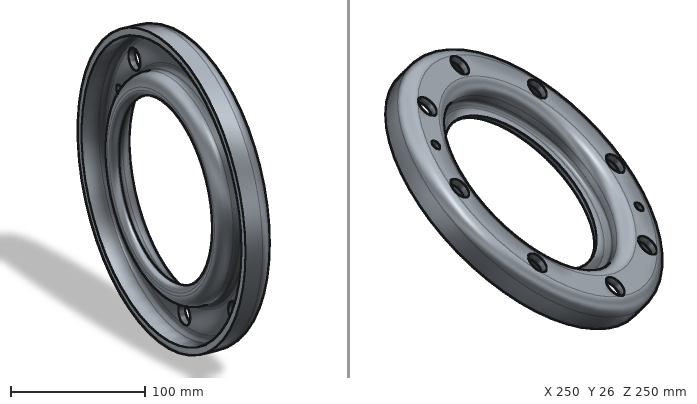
import cadquery as cq
import math

OUTER_RADIUS = 125.0
BORE_RADIUS = 72.5
NECK_RADIUS = 90.0
THICKNESS = 6.0
TOTAL_DEPTH = 26.0
RIM_DEPTH = 25.5
RIM_BEND = 4.8
NECK_BEND = 4.2
LIP_ROUND = 4.8

BOLT_CIRCLE_RADIUS = 105.0
BOLT_COUNT = 8
BOLT_DIAMETER = 17.5
PIN_DIAMETER = 8.0
PIN_ANGLES = (157.5, 337.5)

RIM_INNER_RADIUS = OUTER_RADIUS - THICKNESS
RIM_OUTER_BEND = RIM_BEND + THICKNESS
NECK_INNER_RADIUS = NECK_RADIUS - THICKNESS
NECK_OUTER_BEND = NECK_BEND + THICKNESS
FLOOR = -THICKNESS
CREST = -TOTAL_DEPTH
LIP_BACK = CREST + THICKNESS
HALF_DIAGONAL = math.sqrt(0.5)


def bend(profile, center, radius, start, end):
    """Add a quarter arc; start and end are (radial, axial) unit directions from its center."""
    def on_arc(radial, axial):
        return (center[0] + radius * radial, center[1] + radius * axial)

    middle = ((start[0] + end[0]) * HALF_DIAGONAL, (start[1] + end[1]) * HALF_DIAGONAL)
    return profile.lineTo(*on_arc(*start)).threePointArc(on_arc(*middle), on_arc(*end))


def make_shell():
    """Revolve the wall section, drawn with radius along X and depth along Y."""
    inward, outward, front, back = (-1, 0), (1, 0), (0, -1), (0, 1)
    rim_center = (RIM_INNER_RADIUS - RIM_BEND, FLOOR - RIM_BEND)
    root_center = (NECK_RADIUS + NECK_BEND, FLOOR - NECK_BEND)
    crest_center = (NECK_INNER_RADIUS - NECK_BEND, LIP_BACK + NECK_BEND)
    lip_center = (BORE_RADIUS + LIP_ROUND, CREST + LIP_ROUND)

    profile = cq.Workplane("XY").moveTo(OUTER_RADIUS, -RIM_DEPTH)
    profile = bend(profile, rim_center, RIM_OUTER_BEND, outward, back)
    profile = bend(profile, root_center, NECK_OUTER_BEND, back, inward)
    profile = bend(profile, crest_center, NECK_BEND, outward, front)
    profile = profile.lineTo(BORE_RADIUS, LIP_BACK)
    profile = bend(profile, lip_center, LIP_ROUND, inward, front)
    profile = bend(profile, crest_center, NECK_OUTER_BEND, front, outward)
    profile = bend(profile, root_center, NECK_BEND, inward, back)
    profile = bend(profile, rim_center, RIM_BEND, back, outward)
    profile = profile.lineTo(RIM_INNER_RADIUS, -RIM_DEPTH).close()
    return profile.revolve(360, (0, 0, 0), (0, 1, 0))


def make_holes(diameter, angles):
    """Cylinders through the floor, placed on the bolt circle."""
    points = [
        (
            BOLT_CIRCLE_RADIUS * math.cos(math.radians(angle)),
            BOLT_CIRCLE_RADIUS * math.sin(math.radians(angle)),
        )
        for angle in angles
    ]
    return cq.Workplane("XZ").pushPoints(points).circle(diameter / 2).extrude(TOTAL_DEPTH)


bolt_angles = [360 / BOLT_COUNT * index for index in range(BOLT_COUNT)]
result = make_shell()
result = result.cut(make_holes(BOLT_DIAMETER, bolt_angles))
result = result.cut(make_holes(PIN_DIAMETER, PIN_ANGLES))